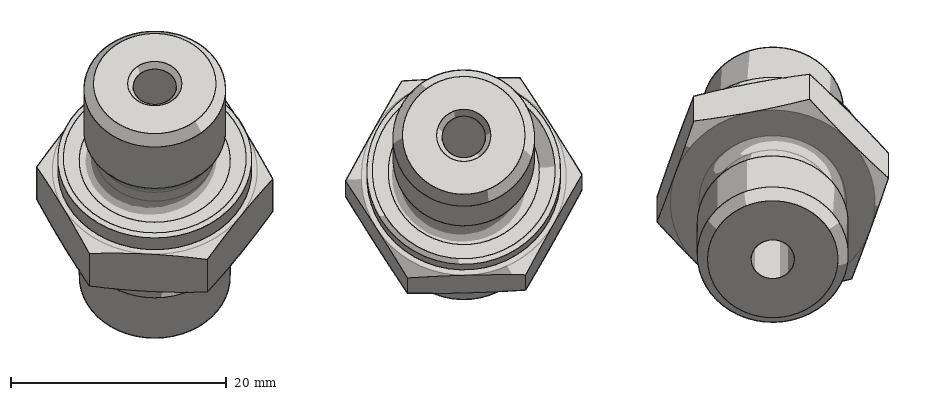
import cadquery as cq
import math

total_height = 32.0
lower_thread_top = 7.45
hex_bottom = 12.0
hex_top = 18.0
flange_top = 20.0
upper_thread_bottom = 24.45

lower_thread_diameter = 14.0
lower_neck_diameter = 11.7
upper_thread_diameter = 13.15
upper_neck_diameter = 11.2
flange_diameter = 18.0
seal_edge_diameter = 16.95
bore_diameter = 4.0

across_flats = 19.0
hex_chamfer_angle = math.radians(15)

lower_end_chamfer = 0.95
upper_end_chamfer = 0.9
bore_chamfer = 0.5
flange_edge_drop = 0.1
seal_face_depth = 0.4
upper_root_radius = 1.4
lower_root_radius = 1.0
runout_angle = math.radians(30)
lower_runout_radius = 1.0
upper_runout_radius = 1.2


def runout(thread_radius, thread_end, neck_radius, runout_radius, direction):
    """Cone end, arc middle and arc end where a thread runs out into its neck.

    direction is +1 when the neck lies above the thread and -1 when below.
    """
    def arc_point(angle):
        return neck_radius + runout_radius * (1 - math.cos(angle))

    cone_radius = arc_point(runout_angle)
    cone_length = (thread_radius - cone_radius) / math.tan(runout_angle)
    arc_length = runout_radius * math.sin(runout_angle)
    half_angle = runout_angle / 2
    from_neck = runout_radius * math.sin(half_angle)
    neck_level = thread_end + direction * (cone_length + arc_length)
    return (
        (cone_radius, thread_end + direction * cone_length),
        (arc_point(half_angle), neck_level - direction * from_neck),
        (neck_radius, neck_level),
    )


def root_arc(neck_radius, face_level, radius, direction):
    """Neck end, middle and face end of a quarter-round root fillet.

    direction is +1 when the neck rises from the face and -1 when it hangs below.
    """
    centre_radius = neck_radius + radius
    centre_level = face_level + direction * radius
    diagonal = radius * math.sqrt(0.5)
    return (
        (neck_radius, centre_level),
        (centre_radius - diagonal, centre_level - direction * diagonal),
        (centre_radius, face_level),
    )


def make_lower_stud():
    """Threaded end below the hexagon, with its relief neck."""
    thread_radius = lower_thread_diameter / 2
    neck_radius = lower_neck_diameter / 2
    cone_end, cone_mid, neck_start = runout(
        thread_radius, lower_thread_top, neck_radius, lower_runout_radius, 1
    )
    root_start, root_mid, root_end = root_arc(neck_radius, hex_bottom, lower_root_radius, -1)
    return (
        cq.Workplane("XZ")
        .lineTo(thread_radius - lower_end_chamfer, 0)
        .lineTo(thread_radius, lower_end_chamfer)
        .lineTo(thread_radius, lower_thread_top)
        .lineTo(*cone_end)
        .threePointArc(cone_mid, neck_start)
        .lineTo(*root_start)
        .threePointArc(root_mid, root_end)
        .lineTo(root_end[0], hex_top)
        .lineTo(0, hex_top)
        .close()
        .revolve(360, (0, 0), (0, 1))
    )


def make_upper_stud():
    """Flange with dished sealing face, relief neck and upper threaded end."""
    thread_radius = upper_thread_diameter / 2
    neck_radius = upper_neck_diameter / 2
    cone_end, cone_mid, neck_end = runout(
        thread_radius, upper_thread_bottom, neck_radius, upper_runout_radius, -1
    )
    dish_level = flange_top - seal_face_depth
    root_end, root_mid, root_start = root_arc(neck_radius, dish_level, upper_root_radius, 1)
    return (
        cq.Workplane("XZ")
        .moveTo(0, hex_bottom)
        .lineTo(neck_radius, hex_bottom)
        .lineTo(neck_radius, hex_top)
        .lineTo(flange_diameter / 2, hex_top)
        .lineTo(flange_diameter / 2, flange_top - flange_edge_drop)
        .lineTo(seal_edge_diameter / 2, flange_top)
        .lineTo(*root_start)
        .threePointArc(root_mid, root_end)
        .lineTo(*neck_end)
        .threePointArc(cone_mid, cone_end)
        .lineTo(thread_radius, upper_thread_bottom)
        .lineTo(thread_radius, total_height - upper_end_chamfer)
        .lineTo(thread_radius - upper_end_chamfer, total_height)
        .lineTo(0, total_height)
        .close()
        .revolve(360, (0, 0), (0, 1))
    )


def make_hexagon():
    """Hexagon with flats facing +X and -X and conically chamfered corners."""
    corner_radius = across_flats / 2 / math.cos(math.radians(30))
    prism = (
        cq.Workplane("XY")
        .workplane(offset=hex_bottom)
        .polygon(6, 2 * corner_radius)
        .extrude(hex_top - hex_bottom)
        .rotate((0, 0, 0), (0, 0, 1), 30)
    )
    face_radius = across_flats / 2
    corner_drop = (corner_radius - face_radius) * math.tan(hex_chamfer_angle)
    envelope = (
        cq.Workplane("XZ")
        .moveTo(0, hex_bottom)
        .lineTo(face_radius, hex_bottom)
        .lineTo(corner_radius, hex_bottom + corner_drop)
        .lineTo(corner_radius, hex_top - corner_drop)
        .lineTo(face_radius, hex_top)
        .lineTo(0, hex_top)
        .close()
        .revolve(360, (0, 0), (0, 1))
    )
    return prism.intersect(envelope)


def make_bore():
    """Through bore, countersunk at the upper end."""
    bore_radius = bore_diameter / 2
    return (
        cq.Workplane("XZ")
        .lineTo(bore_radius, 0)
        .lineTo(bore_radius, total_height - bore_chamfer)
        .lineTo(bore_radius + bore_chamfer, total_height)
        .lineTo(0, total_height)
        .close()
        .revolve(360, (0, 0), (0, 1))
    )


result = make_hexagon().union(make_lower_stud()).union(make_upper_stud()).cut(make_bore())